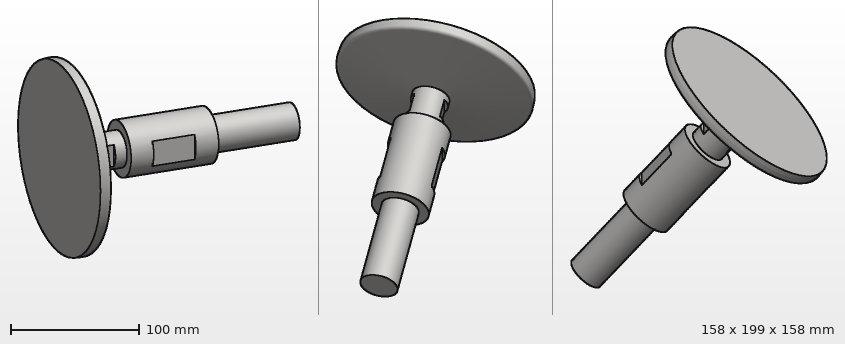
import cadquery as cq
import math

foot_diameter = 158.0
foot_bottom_diameter = 157.2
taper_height = 4.2
rim_top = 7.0
rim_fillet = 3.0
cone_top = 20.5

spindle_diameter = 30.0
overall_length = 199
neck_flats_width = 24.0
neck_flats_start = 26.0
neck_flats_end = 41.4

sleeve_diameter = 46.0
sleeve_start = 51.1
sleeve_end = 126.0
sleeve_flats_width = 41.0
sleeve_flats_start = 70.5
sleeve_flats_end = 106.5

foot_radius = foot_diameter / 2
spindle_radius = spindle_diameter / 2


def cylinder_along_y(diameter, start, end):
    """Cylinder on the Y axis between two Y positions."""
    plane = cq.Plane(origin=(0, start, 0), xDir=(1, 0, 0), normal=(0, 1, 0))
    return cq.Workplane(plane).circle(diameter / 2).extrude(end - start)


def cut_flats(body, diameter, width, start, end):
    """Cut two opposite wrench flats, facing -X and +X, into a round body."""
    depth = (diameter - width) / 2
    for side in (-1, 1):
        pocket = cq.Workplane("XY").box(2 * depth, end - start, diameter)
        center_x = side * (width / 2 + depth)
        body = body.cut(pocket.translate((center_x, (start + end) / 2, 0)))
    return body


def make_foot_disc():
    """Revolve the foot: tapered edge, straight rim, rounded shoulder and cone."""
    fillet_x = foot_radius - rim_fillet
    run = fillet_x - spindle_radius
    rise = cone_top - rim_top
    cone_angle = math.atan2(rise, run) - math.asin(rim_fillet / math.hypot(run, rise))
    normal_angle = math.pi / 2 - cone_angle

    def shoulder_point(angle):
        return (fillet_x + rim_fillet * math.cos(angle), rim_top + rim_fillet * math.sin(angle))

    return (
        cq.Workplane("XY")
        .lineTo(foot_bottom_diameter / 2, 0)
        .lineTo(foot_radius, taper_height)
        .lineTo(foot_radius, rim_top)
        .threePointArc(shoulder_point(normal_angle / 2), shoulder_point(normal_angle))
        .lineTo(spindle_radius, cone_top)
        .lineTo(0, cone_top)
        .close()
        .revolve(360, (0, 0, 0), (0, 1, 0))
    )


def make_foot():
    """Foot disc and spindle in one piece, with wrench flats on the neck."""
    spindle = cylinder_along_y(spindle_diameter, cone_top, overall_length)
    spindle = cut_flats(spindle, spindle_diameter, neck_flats_width, neck_flats_start, neck_flats_end)
    return make_foot_disc().union(spindle)


def make_sleeve():
    """Sleeve bored to fit the spindle, with its own wrench flats."""
    sleeve = cylinder_along_y(sleeve_diameter, sleeve_start, sleeve_end)
    sleeve = cut_flats(sleeve, sleeve_diameter, sleeve_flats_width, sleeve_flats_start, sleeve_flats_end)
    return sleeve.cut(cylinder_along_y(spindle_diameter, sleeve_start, sleeve_end))


foot = make_foot()
sleeve = make_sleeve()
result = cq.Compound.makeCompound([foot.solids().val(), sleeve.solids().val()])